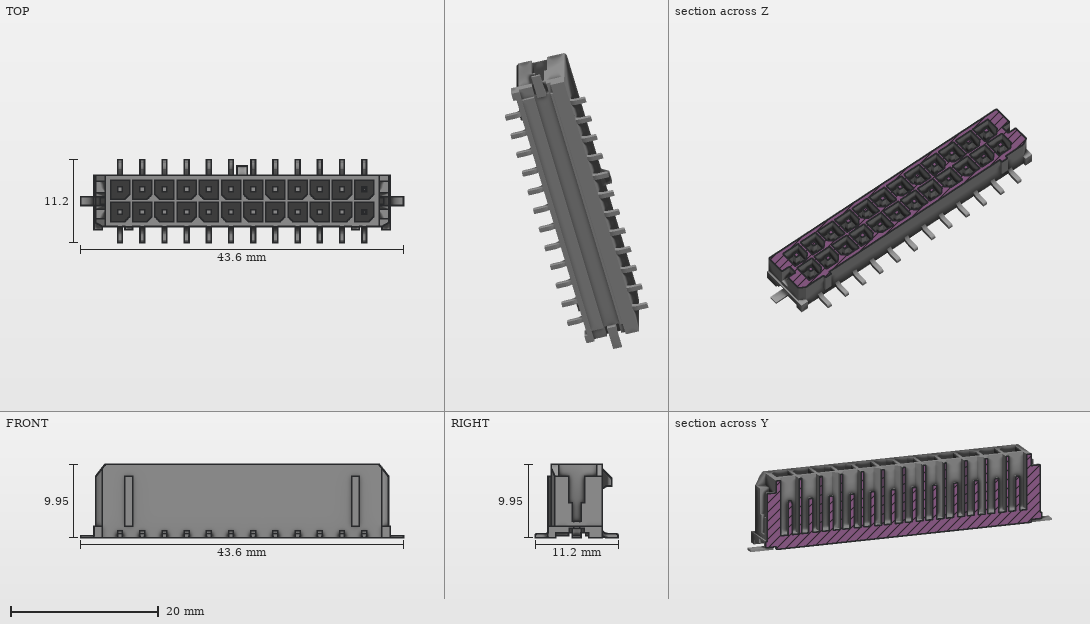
import cadquery as cq
import math

LENGTH = 43.65
DEPTH = 11.2
HEIGHT = 9.95

SHELL_LENGTH = 39.65
SHELL_FRONT = -3.45
SHELL_BACK = 3.5
TOP_EDGE_LENGTH = 37.0
SHOULDER_Z = 8.3
CORNER_RUN = 0.9
CORNER_DEPTH = 0.52
BASE_LENGTH = 40.05
BASE_HEIGHT = 1.55
FOOT_FRONT = -3.9
OVERLAP = 0.45

END_RECESS_STEPS = [(2.7, -2.4, SHOULDER_Z), (1.1, -1.1, 4.7), (0.6, -0.6, 2.23)]

COLUMNS = 12
COLUMN_SPAN = 33.0
COLUMN_PITCH = COLUMN_SPAN / (COLUMNS - 1)
CAVITY_SIZE = 2.58
CAVITY_CHAMFER = 0.65
CAVITY_FLOOR = 2.2
PIN_SIZE = 0.65
PIN_TOP = 7.0
PIN_TIP_INSET = 0.17
PIN_TIP_LENGTH = 0.45
ROWS = [(1.53, 1.55, "RRLRLLLLRLRR"), (-1.5, -1.5, "RRLRLLLRLLRR")]

LEAD_WIDTH = 0.65
LEAD_THICKNESS = 0.55
LEAD_TIP_RADIUS = 0.3
LEAD_BEND_Y = 4.28
LEAD_BEND_RADIUS = 1.1
LEAD_ROOT_Y = 3.05

LATCH_WIDTH = 1.4
LATCH_REACH = 4.75
LATCH_TOP = 9.3
LATCH_NOSE_RADIUS = 0.45
LATCH_LIP_Z = 7.0
LATCH_LIP_Y = 4.0
LATCH_BOTTOM = 6.65

RIB_SPACING = 30.65
RIB_WIDTH = 1.05

FLOOR_Z = 0.25
GROOVE_HEIGHT = 0.65
STANDING_BACK = 1.6
STANDING_FRONT = -2.8
GROOVE_BACK = 1.22
GROOVE_FRONT = -1.1

NAIL_WIDTH = 1.22
NAIL_THICKNESS = 0.3
NAIL_BEND_RADIUS = 0.17
NAIL_POCKET_WIDTH = 2.0
NAIL_POCKET_TOP = 1.3
NAIL_HOLE_WIDTH = 0.85
NAIL_HOLE_X = 19.15

WALL_X = TOP_EDGE_LENGTH / 2
SHELL_X = SHELL_LENGTH / 2
BASE_X = BASE_LENGTH / 2


def block(x0, x1, y0, y1, z0, z1):
    """Box between pairs of opposite faces, given in any order."""
    size = (abs(x1 - x0), abs(y1 - y0), abs(z1 - z0))
    corner = (min(x0, x1), min(y0, y1), min(z0, z1))
    return cq.Workplane("XY").box(*size, centered=False).translate(corner)


def column_x(column):
    return (column - (COLUMNS - 1) / 2) * COLUMN_PITCH


def make_shell():
    """Housing with chamfered front corners and sloped upper ends."""
    plan = (
        cq.Workplane("XY")
        .moveTo(-SHELL_X, SHELL_BACK)
        .lineTo(SHELL_X, SHELL_BACK)
        .lineTo(SHELL_X, SHELL_FRONT + CORNER_DEPTH)
        .lineTo(SHELL_X - CORNER_RUN, SHELL_FRONT)
        .lineTo(CORNER_RUN - SHELL_X, SHELL_FRONT)
        .lineTo(-SHELL_X, SHELL_FRONT + CORNER_DEPTH)
        .close()
        .extrude(HEIGHT)
    )
    elevation = (
        cq.Workplane("XZ")
        .moveTo(-SHELL_X, 0)
        .lineTo(SHELL_X, 0)
        .lineTo(SHELL_X, SHOULDER_Z)
        .lineTo(WALL_X, HEIGHT)
        .lineTo(-WALL_X, HEIGHT)
        .lineTo(-SHELL_X, SHOULDER_Z)
        .close()
        .extrude(SHELL_BACK - SHELL_FRONT)
        .translate((0, SHELL_BACK, 0))
    )
    return plan.intersect(elevation)


def make_base_end(side):
    """End of the base, with its foot standing proud of the front corner."""
    inner_x = side * (SHELL_X - CORNER_RUN)
    return block(inner_x, side * BASE_X, FOOT_FRONT, SHELL_BACK, 0, BASE_HEIGHT)


def make_end_recess(side):
    """Stepped recess in an end face, with the nail hole in its floor."""
    recess = block(side * WALL_X, side * NAIL_HOLE_X, -NAIL_HOLE_WIDTH / 2, NAIL_HOLE_WIDTH / 2,
                   NAIL_POCKET_TOP, HEIGHT)
    for back, front, bottom in END_RECESS_STEPS:
        recess = recess.union(block(side * WALL_X, side * BASE_X, front, back, bottom, HEIGHT))
    return recess


def make_underside_end(side):
    """Wide groove under the base end and the pocket around the nail strap."""
    groove = block(side * WALL_X, side * BASE_X, STANDING_FRONT, STANDING_BACK, 0, GROOVE_HEIGHT)
    pocket = block(side * WALL_X, side * BASE_X, -NAIL_POCKET_WIDTH / 2, NAIL_POCKET_WIDTH / 2,
                   0, NAIL_POCKET_TOP)
    return groove.union(pocket)


def make_underside_middle():
    """Shallow relief and deeper central groove along the whole underside."""
    relief = block(-BASE_X, BASE_X, STANDING_FRONT, STANDING_BACK, 0, FLOOR_Z)
    groove = block(-BASE_X, BASE_X, GROOVE_FRONT, GROOVE_BACK, 0, GROOVE_HEIGHT)
    return relief.union(groove)


def make_cavity(x, y, keyed_corner):
    """Square contact cavity with one chamfered lower corner."""
    keyed_side = "<X" if keyed_corner == "L" else ">X"
    half = CAVITY_SIZE / 2
    cavity = block(x - half, x + half, y - half, y + half, CAVITY_FLOOR, HEIGHT)
    return cavity.faces(keyed_side).edges("<Y").chamfer(CAVITY_CHAMFER)


def make_pin(x, y, tapered):
    """Square contact pin rooted below the cavity floor, with an optional tapered tip."""
    half = PIN_SIZE / 2
    pin = block(x - half, x + half, y - half, y + half, CAVITY_FLOOR - OVERLAP, PIN_TOP)
    if tapered:
        pin = pin.faces(">Z").chamfer(PIN_TIP_LENGTH, PIN_TIP_INSET)
    return pin


def make_lead(x):
    """Solder lead of the back row: flat foot with a rounded tip, bent up into the wall."""
    tip_y = DEPTH / 2
    bend_z = LEAD_THICKNESS + LEAD_BEND_RADIUS
    outer_radius = bend_z
    root_run = LEAD_BEND_Y - LEAD_ROOT_Y
    root_z = bend_z - math.sqrt(outer_radius**2 - root_run**2)
    inner_y = LEAD_BEND_Y - LEAD_BEND_RADIUS
    return (
        cq.Workplane("YZ")
        .moveTo(tip_y, 0)
        .lineTo(tip_y, LEAD_THICKNESS - LEAD_TIP_RADIUS)
        .radiusArc((tip_y - LEAD_TIP_RADIUS, LEAD_THICKNESS), -LEAD_TIP_RADIUS)
        .lineTo(LEAD_BEND_Y, LEAD_THICKNESS)
        .radiusArc((inner_y, bend_z), LEAD_BEND_RADIUS)
        .lineTo(LEAD_ROOT_Y, bend_z)
        .lineTo(LEAD_ROOT_Y, root_z)
        .radiusArc((LEAD_BEND_Y, 0), -outer_radius)
        .close()
        .extrude(LEAD_WIDTH)
        .translate((x - LEAD_WIDTH / 2, 0, 0))
    )


def make_latch():
    """Hooked latch in the middle of the back face: a 45 degree ramp with a rounded nose."""
    root_y = SHELL_BACK - OVERLAP
    cos_45 = math.sqrt(0.5)
    ramp_end_y = LATCH_REACH - LATCH_NOSE_RADIUS * (1 - cos_45)
    ramp_end_z = LATCH_TOP - (ramp_end_y - SHELL_BACK)
    nose_end_z = ramp_end_z - LATCH_NOSE_RADIUS * cos_45
    return (
        cq.Workplane("YZ")
        .moveTo(root_y, LATCH_TOP)
        .lineTo(SHELL_BACK, LATCH_TOP)
        .lineTo(ramp_end_y, ramp_end_z)
        .radiusArc((LATCH_REACH, nose_end_z), LATCH_NOSE_RADIUS)
        .lineTo(LATCH_REACH, LATCH_LIP_Z)
        .lineTo(LATCH_LIP_Y, LATCH_LIP_Z)
        .lineTo(SHELL_BACK, LATCH_BOTTOM)
        .lineTo(root_y, LATCH_BOTTOM)
        .close()
        .extrude(LATCH_WIDTH / 2, both=True)
    )


def make_rib(side):
    """Upright key rib on the front face."""
    x = side * RIB_SPACING / 2
    half = RIB_WIDTH / 2
    return block(x - half, x + half, FOOT_FRONT, SHELL_FRONT + OVERLAP, BASE_HEIGHT, SHOULDER_Z)


def make_nail():
    """Solder nail at the +X end: flat foot bent up into a strap that fills the pocket depth."""
    return (
        cq.Workplane("XZ")
        .moveTo(WALL_X, 0)
        .lineTo(LENGTH / 2, 0)
        .lineTo(LENGTH / 2, NAIL_THICKNESS)
        .lineTo(NAIL_HOLE_X + NAIL_BEND_RADIUS, NAIL_THICKNESS)
        .radiusArc((NAIL_HOLE_X, NAIL_THICKNESS + NAIL_BEND_RADIUS), NAIL_BEND_RADIUS)
        .lineTo(NAIL_HOLE_X, NAIL_POCKET_TOP)
        .lineTo(WALL_X, NAIL_POCKET_TOP)
        .close()
        .extrude(NAIL_WIDTH / 2, both=True)
    )


SIDES = (-1, 1)

housing = make_shell()
for side in SIDES:
    housing = housing.union(make_base_end(side))
    housing = housing.union(make_rib(side))
housing = housing.union(make_latch())

housing = housing.cut(make_underside_middle())
for side in SIDES:
    housing = housing.cut(make_end_recess(side))
    housing = housing.cut(make_underside_end(side))

for row_y, pin_y, keyed_corners in ROWS:
    for column, keyed_corner in enumerate(keyed_corners):
        x = column_x(column)
        housing = housing.cut(make_cavity(x, row_y, keyed_corner))
        housing = housing.union(make_pin(x, pin_y, tapered=column == COLUMNS - 1))

for column in range(COLUMNS):
    lead = make_lead(column_x(column))
    housing = housing.union(lead)
    housing = housing.union(lead.mirror("XZ"))
nail = make_nail()
housing = housing.union(nail)
housing = housing.union(nail.mirror("YZ"))

result = housing